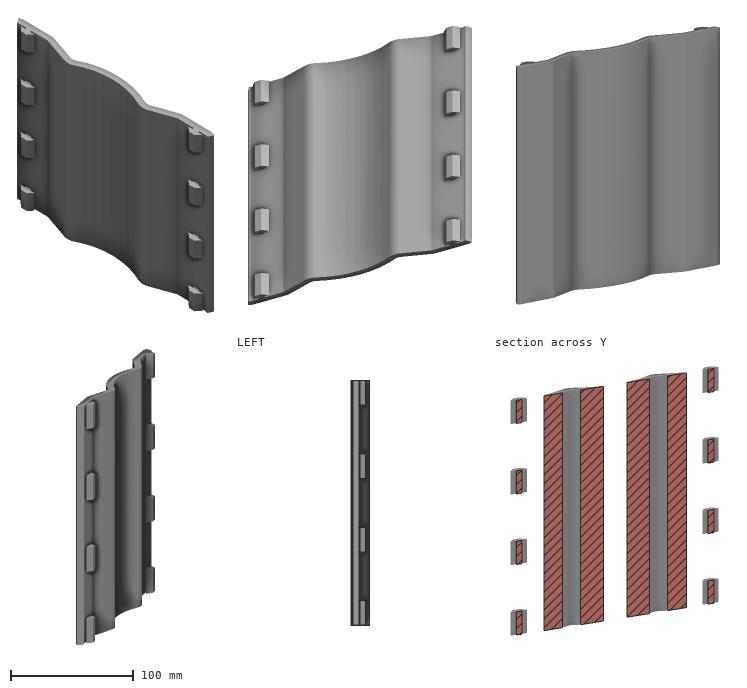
import cadquery as cq
import math

WIDTH = 211.1
HEIGHT = 200.0
DEPTH = 15.2
THICKNESS = 6.0

CREST_RADIUS = 79.2
VALLEY_RADIUS = 13.7
FLAT_BEND_X = 69.9

TAPER_LENGTH = 3.5
TAPER_DROP = 0.8
CORNER_INSET = 0.6
CORNER_DROP = 1.7
LIP_TIP_INSET = 3.0
LIP_ROOT_INSET = 5.3
LIP_DROP = 0.6

LUG_COUNT = 4
LUG_LENGTH = 20.0
LUG_INSET = 15.2
NECK_HALF_WIDTH = 3.0
NECK_DEPTH = 1.5
HEAD_HALF_WIDTH = 7.5
HEAD_TIP_HALF_WIDTH = 3.0
HEAD_DEPTH = 4.5

HALF_WIDTH = WIDTH / 2

crest_y = -THICKNESS - CREST_RADIUS
valley_y = -DEPTH + VALLEY_RADIUS
valley_x = math.sqrt((CREST_RADIUS + VALLEY_RADIUS) ** 2 - (valley_y - crest_y) ** 2)

bend_to_valley_x = FLAT_BEND_X - valley_x
bend_to_valley_y = valley_y + THICKNESS
bend_to_valley = math.hypot(bend_to_valley_x, bend_to_valley_y)
ramp_angle = math.asin(VALLEY_RADIUS / bend_to_valley) - math.atan2(bend_to_valley_y, bend_to_valley_x)
crest_angle = math.asin(valley_x / (CREST_RADIUS + VALLEY_RADIUS))


def valley_point(radius, angle):
    """Point on the right valley arc; angle is from straight down, positive outward."""
    return (valley_x + radius * math.sin(angle), valley_y - radius * math.cos(angle))


def mirrored(point):
    return (-point[0], point[1])


def make_panel():
    back_radius = VALLEY_RADIUS - THICKNESS
    back_bend = (FLAT_BEND_X - THICKNESS * math.tan(ramp_angle / 2), 0)
    back_outer = valley_point(back_radius, ramp_angle)
    back_low = valley_point(back_radius, 0)
    back_inner = valley_point(back_radius, -crest_angle)
    front_bend = (FLAT_BEND_X, -THICKNESS)
    front_outer = valley_point(VALLEY_RADIUS, ramp_angle)
    front_low = valley_point(VALLEY_RADIUS, 0)
    front_inner = valley_point(VALLEY_RADIUS, -crest_angle)

    edge_top = (HALF_WIDTH - TAPER_LENGTH, 0)
    corner_back = (HALF_WIDTH - CORNER_INSET, -TAPER_DROP)
    corner_side = (HALF_WIDTH, -CORNER_DROP)
    lip_tip = (HALF_WIDTH - LIP_TIP_INSET, -THICKNESS - LIP_DROP)
    lip_root = (HALF_WIDTH - LIP_ROOT_INSET, -THICKNESS)

    return (
        cq.Workplane("XY")
        .moveTo(*mirrored(edge_top))
        .lineTo(*mirrored(back_bend))
        .lineTo(*mirrored(back_outer))
        .threePointArc(mirrored(back_low), mirrored(back_inner))
        .threePointArc((0, 0), back_inner)
        .threePointArc(back_low, back_outer)
        .lineTo(*back_bend)
        .lineTo(*edge_top)
        .lineTo(*corner_back)
        .lineTo(*corner_side)
        .lineTo(*lip_tip)
        .lineTo(*lip_root)
        .lineTo(*front_bend)
        .lineTo(*front_outer)
        .threePointArc(front_low, front_inner)
        .threePointArc((0, -THICKNESS), mirrored(front_inner))
        .threePointArc(mirrored(front_low), mirrored(front_outer))
        .lineTo(*mirrored(front_bend))
        .lineTo(*mirrored(lip_root))
        .lineTo(*mirrored(lip_tip))
        .lineTo(*mirrored(corner_side))
        .lineTo(*mirrored(corner_back))
        .close()
        .extrude(HEIGHT)
    )


def make_lug(x, z):
    """Arrow-headed lug whose neck starts inside the panel so that the two fuse."""
    neck_start = -THICKNESS / 2
    head_y = -THICKNESS - NECK_DEPTH
    half_outline = [
        (NECK_HALF_WIDTH, neck_start),
        (NECK_HALF_WIDTH, head_y),
        (HEAD_HALF_WIDTH, head_y),
        (HEAD_TIP_HALF_WIDTH, head_y - HEAD_DEPTH),
    ]
    outline = half_outline + [mirrored(point) for point in reversed(half_outline)]
    return cq.Workplane("XY").polyline(outline).close().extrude(LUG_LENGTH).translate((x, 0, z))


result = make_panel()
lug_pitch = (HEIGHT - LUG_LENGTH) / (LUG_COUNT - 1)
lug_x = HALF_WIDTH - LUG_INSET
for row in range(LUG_COUNT):
    for side in (-1, 1):
        result = result.union(make_lug(side * lug_x, row * lug_pitch))